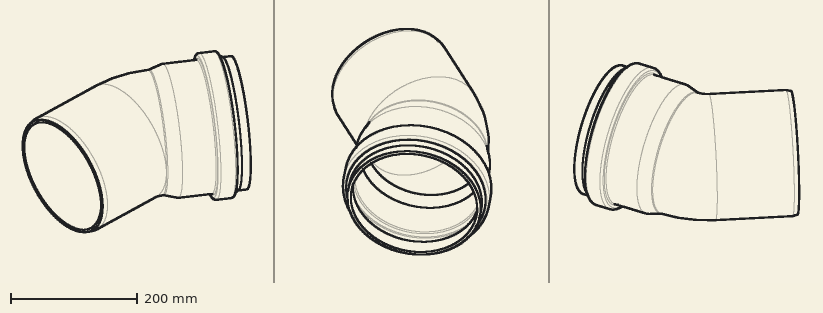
import cadquery as cq
import math

PIPE_OUTER_RADIUS = 200.2 / 2
PIPE_INNER_RADIUS = 187.2 / 2
PIPE_LENGTH = 130.2
BEND_ANGLE = 30
BEND_RADIUS = 100.5
END_CHAMFER_LENGTH = 8.0
END_CHAMFER_DEPTH = 2.0

SOCKET_WALL = 5.5
BODY_RADIUS = 214.0 / 2
RING_RADIUS = 234.0 / 2
LIP_RADIUS = 212.8 / 2
NECK_RADIUS = 111.3

SOCKET_LENGTH = 134.5
STUB_LENGTH = 2.0
CONE_END = 24.5
RING_START = SOCKET_LENGTH - 54.0
RING_END = SOCKET_LENGTH - 22.5
LIP_START = SOCKET_LENGTH - 14.5
INNER_LIP_START = SOCKET_LENGTH - 25.2
RING_ROUNDING = 4.0
GROOVE_ROUNDING = 1.5
ROOT_ROUNDING = 2.0


def pipe_and_bend(radius):
    """Solid straight pipe along +Y followed by the bend towards +X."""
    section = cq.Workplane("XZ").circle(radius)
    straight = section.extrude(-PIPE_LENGTH)
    bend = (
        cq.Workplane("XZ", origin=(0, PIPE_LENGTH, 0))
        .circle(radius)
        .revolve(BEND_ANGLE, (BEND_RADIUS, 3.5, 0), (BEND_RADIUS, -3.5, 0))
    )
    return straight.union(bend)


def revolve_about_y(profile):
    return profile.close().revolve(360, (0, 0, 0), (0, 1, 0))


def socket_shape(start_radius, inset, ring_start, ring_end, lip_start, rounding):
    """Solid stepped socket shape along +Y, inset from the outer surface."""
    body = BODY_RADIUS - inset
    ring = RING_RADIUS - inset
    profile = (
        cq.Workplane("XY")
        .lineTo(start_radius, 0)
        .lineTo(start_radius, STUB_LENGTH)
        .lineTo(body, CONE_END)
        .lineTo(body, ring_start - ROOT_ROUNDING)
        .radiusArc((body + ROOT_ROUNDING, ring_start), ROOT_ROUNDING)
        .lineTo(ring - rounding, ring_start)
        .radiusArc((ring, ring_start + rounding), -rounding)
        .lineTo(ring, ring_end - rounding)
        .radiusArc((ring - rounding, ring_end), -rounding)
        .lineTo(NECK_RADIUS - inset, ring_end)
        .lineTo(LIP_RADIUS - inset, lip_start)
        .lineTo(LIP_RADIUS - inset, SOCKET_LENGTH)
        .lineTo(0, SOCKET_LENGTH)
    )
    return revolve_about_y(profile)


def place_on_bend(shape):
    """Move a shape built along +Y from the origin to the end of the bend."""
    angle = math.radians(BEND_ANGLE)
    shift_x = BEND_RADIUS * (1 - math.cos(angle))
    shift_y = PIPE_LENGTH + BEND_RADIUS * math.sin(angle)
    turned = shape.rotate((0, 0, 0), (0, 0, 1), -BEND_ANGLE)
    return turned.translate((shift_x, shift_y, 0))


def chamfered_pipe_end():
    """Ring of material to remove around the outside of the spigot end."""
    profile = (
        cq.Workplane("XY")
        .moveTo(PIPE_OUTER_RADIUS - END_CHAMFER_DEPTH, 0)
        .lineTo(PIPE_OUTER_RADIUS, END_CHAMFER_LENGTH)
        .lineTo(PIPE_OUTER_RADIUS, 0)
    )
    return revolve_about_y(profile)


socket_outside = socket_shape(PIPE_OUTER_RADIUS, 0, RING_START, RING_END, LIP_START, RING_ROUNDING)
socket_inside = socket_shape(
    PIPE_INNER_RADIUS,
    SOCKET_WALL,
    RING_START + SOCKET_WALL,
    RING_END - SOCKET_WALL,
    INNER_LIP_START,
    GROOVE_ROUNDING,
)
outside = pipe_and_bend(PIPE_OUTER_RADIUS).union(place_on_bend(socket_outside))
inside = pipe_and_bend(PIPE_INNER_RADIUS).union(place_on_bend(socket_inside))

result = outside.cut(inside).cut(chamfered_pipe_end())